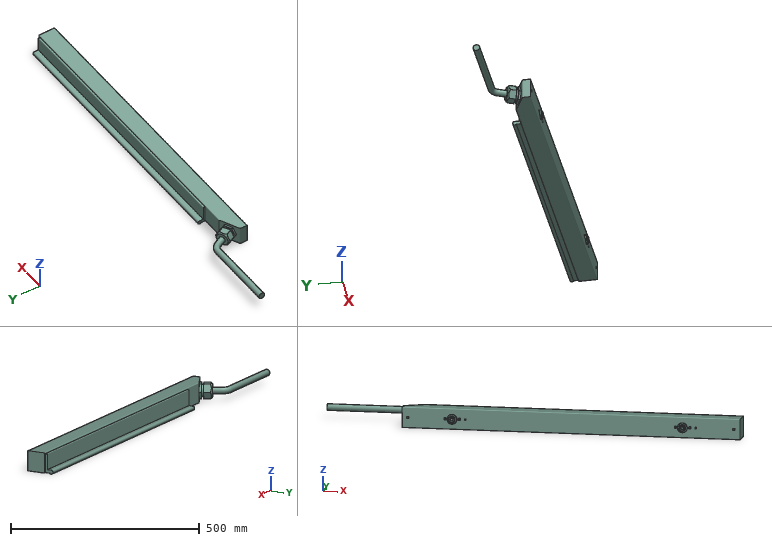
import cadquery as cq
import math

HOUSING_LEFT = 221.0
HOUSING_RIGHT = 1134.0
HOUSING_FRONT = 7.0
HOUSING_BACK = 58.0
HOUSING_BOTTOM = 2.0
HOUSING_TOP = 58.0
EDGE_RADIUS = 2.0
SLOPE_ANGLE = 26.0
SLOPE_END = 280.0
SLOPE_BEND_RADIUS = 6.0
MID_HEIGHT = (HOUSING_BOTTOM + HOUSING_TOP) / 2

HOLE_DEPTH = 6.0
SCREW_HOLE_DIAMETER = 6.0
SCREW_HOLE_OFFSET = 19.0
PILOT_HOLE_DIAMETER = 3.7
PILOT_HOLE_OFFSET = 35.0
END_HOLE_POSITIONS = (236.0, 1117.0)

LOCK_POSITIONS = (356.0, 978.0)
BEZEL_DIAMETER = 26.0
BEZEL_THICKNESS = 3.0
BUTTON_DIAMETER = 18.0
BUTTON_HEIGHT = 7.0
SOCKET_DIAMETER = 7.5
SOCKET_DEPTH = 2.0
BUTTON_CHAMFER = 1.7

RAIL_LEFT = 346.0
RAIL_RIGHT = 1128.0
RAIL_TOP = 54.0
PLATE_THICKNESS = 6.0
BEAD_DIAMETER = 11.0
BEAD_BACK = 80.0

GLAND_X = 253.0
HEX_ACROSS_FLATS = 41.0
FLANGE_THICKNESS = 6.0
NECK_DIAMETER = 33.0
NUT_START = 11.0
NUT_END = 35.0
NUT_RIM_DIAMETER = 35.0

CABLE_DIAMETER = 18.0
CABLE_AXIS_Y = 110.0
CABLE_BEND_RADIUS = 24.0

slope_rad = math.radians(SLOPE_ANGLE)
gland_y = HOUSING_BACK - (SLOPE_END - GLAND_X) * math.tan(slope_rad)
axis_x = -math.sin(slope_rad)
axis_y = math.cos(slope_rad)
gland_plane = cq.Plane(
    origin=(GLAND_X, gland_y, MID_HEIGHT),
    xDir=(0, 0, 1),
    normal=(axis_x, axis_y, 0),
)


def front_disc(x, diameter, y_start, y_end):
    """Disc with its axis along Y, between two Y positions, at mid height."""
    return (
        cq.Workplane("XZ", origin=(x, y_start, MID_HEIGHT))
        .circle(diameter / 2)
        .extrude(y_start - y_end)
    )


def make_housing():
    slope_drop = (SLOPE_END - HOUSING_LEFT) * math.tan(slope_rad)
    body = (
        cq.Workplane("XY", origin=(0, 0, HOUSING_BOTTOM))
        .moveTo(HOUSING_LEFT, HOUSING_FRONT)
        .lineTo(HOUSING_RIGHT, HOUSING_FRONT)
        .lineTo(HOUSING_RIGHT, HOUSING_BACK)
        .lineTo(SLOPE_END, HOUSING_BACK)
        .lineTo(HOUSING_LEFT, HOUSING_BACK - slope_drop)
        .close()
        .extrude(HOUSING_TOP - HOUSING_BOTTOM)
    )
    shoulder = cq.selectors.NearestToPointSelector((HOUSING_LEFT, HOUSING_BACK - slope_drop, MID_HEIGHT))
    body = body.edges(shoulder).fillet(SLOPE_BEND_RADIUS)
    body = body.edges("|X").fillet(EDGE_RADIUS)

    holes = [(x, SCREW_HOLE_DIAMETER) for x in END_HOLE_POSITIONS]
    for x in LOCK_POSITIONS:
        holes.append((x - SCREW_HOLE_OFFSET, SCREW_HOLE_DIAMETER))
        holes.append((x + SCREW_HOLE_OFFSET, SCREW_HOLE_DIAMETER))
        holes.append((x + PILOT_HOLE_OFFSET, PILOT_HOLE_DIAMETER))
    for x, diameter in holes:
        body = body.cut(front_disc(x, diameter, HOUSING_FRONT + HOLE_DEPTH, HOUSING_FRONT))
    return body


def make_bezel(x):
    bezel_front = HOUSING_FRONT - BEZEL_THICKNESS
    disc = front_disc(x, BEZEL_DIAMETER, HOUSING_FRONT, bezel_front)
    return disc.cut(front_disc(x, BUTTON_DIAMETER, HOUSING_FRONT, bezel_front))


def make_button(x):
    button_front = HOUSING_FRONT - BUTTON_HEIGHT
    button = front_disc(x, BUTTON_DIAMETER, HOUSING_FRONT, button_front)
    button = button.faces("<Y").chamfer(BUTTON_CHAMFER)
    return button.cut(front_disc(x, SOCKET_DIAMETER, button_front + SOCKET_DEPTH, button_front))


def make_rail():
    length = RAIL_RIGHT - RAIL_LEFT
    plate_back = HOUSING_BACK + PLATE_THICKNESS
    bead_y = BEAD_BACK - BEAD_DIAMETER / 2
    section = cq.Workplane("YZ", origin=(RAIL_LEFT, 0, 0))
    plate = (
        section.moveTo(HOUSING_BACK, HOUSING_BOTTOM)
        .lineTo(HOUSING_BACK, RAIL_TOP)
        .lineTo(plate_back - EDGE_RADIUS, RAIL_TOP)
        .radiusArc((plate_back, RAIL_TOP - EDGE_RADIUS), EDGE_RADIUS)
        .lineTo(plate_back, BEAD_DIAMETER)
        .lineTo(bead_y, BEAD_DIAMETER)
        .lineTo(bead_y, HOUSING_BOTTOM)
        .close()
        .extrude(length)
    )
    bead = section.center(bead_y, BEAD_DIAMETER / 2).circle(BEAD_DIAMETER / 2).extrude(length)
    return plate.union(bead)


def hex_prism(start, end):
    """Hexagonal prism on the gland axis, two of its flats facing up and down."""
    return (
        cq.Workplane(gland_plane)
        .workplane(offset=start)
        .polygon(6, HEX_ACROSS_FLATS, circumscribed=True)
        .extrude(end - start)
    )


def gland_cylinder(diameter, start, end):
    return cq.Workplane(gland_plane).workplane(offset=start).circle(diameter / 2).extrude(end - start)


def make_gland_body():
    flange = hex_prism(0, FLANGE_THICKNESS)
    neck = gland_cylinder(NECK_DIAMETER, FLANGE_THICKNESS, NUT_START)
    return flange.union(neck).cut(gland_cylinder(CABLE_DIAMETER, 0, NUT_START))


def make_gland_nut():
    corner_radius = HEX_ACROSS_FLATS / 2 / math.cos(math.pi / 6)
    chamfer = corner_radius - NUT_RIM_DIAMETER / 2
    turned_blank = (
        gland_cylinder(2 * corner_radius, NUT_START, NUT_END)
        .faces(cq.selectors.DirectionMinMaxSelector(gland_plane.zDir))
        .chamfer(chamfer)
    )
    nut = hex_prism(NUT_START, NUT_END).intersect(turned_blank)
    return nut.cut(gland_cylinder(CABLE_DIAMETER, NUT_START, NUT_END))


def make_cable():
    corner_distance = (CABLE_AXIS_Y - gland_y) / axis_y
    corner_x = GLAND_X + axis_x * corner_distance
    turn = math.pi / 2 - slope_rad
    tangent = CABLE_BEND_RADIUS * math.tan(turn / 2)
    bend_start = (corner_x - tangent, CABLE_AXIS_Y)
    bend_end = (corner_x - axis_x * tangent, CABLE_AXIS_Y - axis_y * tangent)
    path = (
        cq.Workplane("XY", origin=(0, 0, MID_HEIGHT))
        .moveTo(0, CABLE_AXIS_Y)
        .lineTo(*bend_start)
        .radiusArc(bend_end, CABLE_BEND_RADIUS)
        .lineTo(GLAND_X, gland_y)
    )
    return (
        cq.Workplane("YZ", origin=(0, CABLE_AXIS_Y, MID_HEIGHT))
        .circle(CABLE_DIAMETER / 2)
        .sweep(path)
    )


housing = make_housing()
rail = make_rail()
bezels = [make_bezel(x) for x in LOCK_POSITIONS]
buttons = [make_button(x) for x in LOCK_POSITIONS]
gland_body = make_gland_body()
gland_nut = make_gland_nut()
cable = make_cable()

result = cq.Compound.makeCompound(
    [
        housing.val(),
        rail.val(),
        *[bezel.val() for bezel in bezels],
        *[button.val() for button in buttons],
        gland_body.val(),
        gland_nut.val(),
        cable.val(),
    ]
)